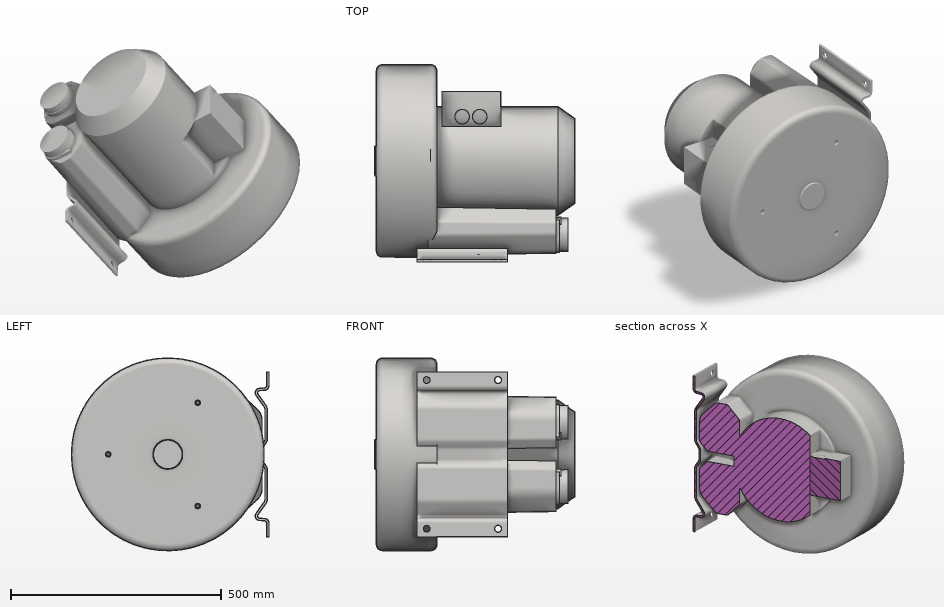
import cadquery as cq
import math


housing_radius = 229.5
housing_depth = 144.5
housing_rim_fillet = 15.0
hub_radius = 35.5
hub_height = 4.0
hub_chamfer = 1.5
cover_hole_count = 3
cover_hole_circle_radius = 142.0
cover_hole_diameter = 9.0
cover_hole_sink_diameter = 13.0
cover_hole_sink_angle = 45.0
cover_hole_depth = 12.0

duct_start_x = 123.5
duct_end_x = 428.5
duct_draft = 0.9
duct_outer_y = -224.5
duct_inner_y = -110.0
duct_top_z = 141.0
duct_bottom_z = 11.0
duct_outer_chamfer_width = 47.0
duct_outer_chamfer_height = 44.5
duct_inner_chamfer = 35.0
duct_lower_chamfer = 22.5
duct_outer_fillet = 34.0
duct_top_fillet = 13.0
duct_small_fillet = 10.0

cap_y = -175.5
cap_z = 76.5
cap_radius = 42.0
plate_end_x = 436.0
flange_end_x = 440.0
plug_radius = 40.0
plug_end_x = 457.0
cap_step_offset = 5.0
plate_corner_radius = 38.0

motor_radius = 129.5
motor_shoulder_x = 432.5
motor_end_x = 473.0
motor_end_radius = 101.0

box_start_x = 156.0
box_end_x = 296.5
box_length = box_end_x - box_start_x
box_seat_y = 82.0
box_outer_y = 165.5
box_half_height = 50.0
knockout_x = (204.5, 246.5)
knockout_y = 105.5
knockout_diameter = 34.5
knockout_depth = 2.0

sheet = 6.0
foot_start_x = 97.0
foot_end_x = 313.0
foot_length = foot_end_x - foot_start_x
foot_half_height = 196.5
flange_y = -238.0
pad_y = -234.0
web_y = -222.0
web_edge_z = 15.8
pad_inner_z = 32.6
pad_outer_z = 111.5
crest_y = -204.0
crest_z = 153.5
flange_bend_z = 156.0
web_bend_radius = 13.0
pad_inner_bend_radius = 10.0
pad_outer_bend_radius = 17.0
crest_bend_radius = 8.0
flange_bend_radius = 8.0
slot_half_height = 19.7
foot_slot_depth = 60.0
foot_hole_diameter = 16.0
foot_hole_z = 177.0
foot_hole_inset = 23.0


def yz_plane(x):
    """Workplane across the machine axis at x, with local axes Y and Z."""
    return cq.Workplane("YZ", origin=(x, 0, 0))


def disc(start_x, end_x, radius, y=0.0, z=0.0):
    return yz_plane(start_x).center(y, z).circle(radius).extrude(end_x - start_x)


def mirrored(shape):
    return shape.mirror("XY")



def make_motor():
    barrel = disc(housing_depth, motor_shoulder_x, motor_radius)
    cone = (
        yz_plane(motor_shoulder_x).circle(motor_radius)
        .workplane(offset=motor_end_x - motor_shoulder_x).circle(motor_end_radius)
        .loft(ruled=True)
    )
    return barrel.union(cone)


def make_box_seat():
    """Space cut from the motor so that the terminal box stands on a flat."""
    return (
        cq.Workplane("XY")
        .box(box_length, motor_radius, 2 * motor_radius, centered=(False, False, True))
        .translate((box_start_x, box_seat_y, 0))
    )



def make_drum():
    drum = disc(0, housing_depth, housing_radius).edges().fillet(housing_rim_fillet)
    hub = disc(-hub_height, housing_rim_fillet, hub_radius).faces("<X").chamfer(hub_chamfer)
    cover_holes = (
        cq.Workplane("YZ")
        .polarArray(cover_hole_circle_radius, 0, 360, cover_hole_count)
        .circle(cover_hole_diameter / 2)
        .extrude(cover_hole_depth)
    )
    sink_step = (cover_hole_sink_diameter - cover_hole_diameter) / 2
    sink_depth = sink_step / math.tan(math.radians(cover_hole_sink_angle))
    sinks = (
        cq.Workplane("YZ")
        .polarArray(cover_hole_circle_radius, 0, 360, cover_hole_count)
        .circle(cover_hole_sink_diameter / 2)
        .extrude(sink_depth, taper=cover_hole_sink_angle)
    )
    return drum.union(hub).cut(cover_holes).cut(sinks)


def make_duct():
    """Upper duct: a drafted prism whose long edges are rounded one by one."""
    corners = [
        ((duct_inner_y, duct_bottom_z), None),
        ((duct_inner_y, duct_top_z - duct_inner_chamfer), duct_small_fillet),
        ((duct_inner_y - duct_inner_chamfer, duct_top_z), duct_small_fillet),
        ((duct_outer_y + duct_outer_chamfer_width, duct_top_z), duct_top_fillet),
        ((duct_outer_y, duct_top_z - duct_outer_chamfer_height), duct_outer_fillet),
        ((duct_outer_y, duct_bottom_z + duct_lower_chamfer), duct_small_fillet),
        ((duct_outer_y + duct_lower_chamfer, duct_bottom_z), duct_small_fillet),
    ]
    duct = (
        yz_plane(duct_start_x).polyline([point for point, _ in corners]).close()
        .extrude(duct_end_x - duct_start_x, taper=duct_draft)
    )
    middle_x = (duct_start_x + duct_end_x) / 2
    for (y, z), radius in corners:
        if radius:
            duct = duct.edges("not #X").edges(cq.NearestToPointSelector((middle_x, y, z))).fillet(radius)
    return duct


def make_duct_root():
    """Full-radius stretch of the drum between the ducts, where its rear rim is not rounded."""
    half_height = duct_top_z - duct_outer_chamfer_height
    between_ducts = (
        cq.Workplane("XY")
        .box(housing_depth, housing_radius, 2 * half_height, centered=(False, False, True))
        .translate((0, -housing_radius, 0))
    )
    return disc(duct_start_x, housing_depth, housing_radius).intersect(between_ducts)


def make_cap():
    """Cap of the upper duct: its outer corner is a lower, squarer step than the round rest."""
    reach = 2 * cap_radius
    diagonal = cap_step_offset * math.sqrt(2)
    corner_region = (
        yz_plane(duct_end_x).center(cap_y, cap_z)
        .polyline([(-reach, diagonal - reach), (reach - diagonal, reach), (-reach, reach)]).close()
        .extrude(flange_end_x - duct_end_x)
    )
    flange = disc(duct_end_x, flange_end_x, cap_radius, cap_y, cap_z).cut(corner_region)
    plate = (
        yz_plane(duct_end_x).center(cap_y, cap_z)
        .rect(2 * cap_radius, 2 * cap_radius)
        .extrude(plate_end_x - duct_end_x)
        .edges("|X and <Y and >Z").fillet(plate_corner_radius)
        .intersect(corner_region)
    )
    plug = disc(duct_end_x, plug_end_x, plug_radius, cap_y, cap_z)
    return flange.union(plate).union(plug)


def make_blower():
    upper_duct = make_duct().union(make_cap())
    motor = make_motor().cut(make_box_seat())
    drum = make_drum().union(make_duct_root())
    return drum.union(motor).union(upper_duct).union(mirrored(upper_duct))



def make_terminal_box():
    box = (
        cq.Workplane("XY")
        .box(box_length, box_outer_y - box_seat_y, 2 * box_half_height, centered=(False, False, True))
        .translate((box_start_x, box_seat_y, 0))
    )
    knockouts = (
        cq.Workplane("XY", origin=(0, 0, box_half_height - knockout_depth))
        .pushPoints([(x, knockout_y) for x in knockout_x])
        .circle(knockout_diameter / 2)
        .extrude(knockout_depth)
    )
    return box.cut(knockouts)



def sheet_side(middle, radii, offset):
    """Line and arc points of one sheet surface, offset to the left of the bent middle line.

    Returns the start point, a list of (arc start, arc middle, arc end) and the end point.
    """
    points = [cq.Vector(*point) for point in middle]
    runs = [(end - start).normalized() for start, end in zip(points, points[1:])]
    normals = [cq.Vector(-run.y, run.x) for run in runs]
    arcs = []
    for i, radius in enumerate(radii):
        vertex = points[i + 1]
        turn = math.copysign(1, runs[i].cross(runs[i + 1]).z)
        tangent = radius * math.tan(runs[i].getAngle(runs[i + 1]) / 2)
        arc_start = vertex - runs[i] * tangent
        centre = arc_start + normals[i] * (turn * radius)
        outward = (vertex - centre).normalized()
        side_radius = radius - turn * offset
        arcs.append((
            centre - normals[i] * (turn * side_radius),
            centre + outward * side_radius,
            centre - normals[i + 1] * (turn * side_radius),
        ))
    return points[0] + normals[0] * offset, arcs, points[-1] + normals[-1] * offset


def make_foot(blower):
    half_middle = [
        (web_y, web_edge_z),
        (pad_y, pad_inner_z),
        (pad_y, pad_outer_z),
        (crest_y, crest_z),
        (flange_y, flange_bend_z),
        (flange_y, foot_half_height),
    ]
    half_radii = [
        web_bend_radius,
        pad_inner_bend_radius,
        pad_outer_bend_radius,
        crest_bend_radius,
        flange_bend_radius,
    ]
    middle = [(y, -z) for y, z in reversed(half_middle)] + half_middle
    radii = half_radii[::-1] + half_radii

    start, arcs, end = sheet_side(middle, radii, sheet / 2)
    profile = yz_plane(foot_start_x).moveTo(start.x, start.y)
    for arc_start, arc_middle, arc_end in arcs:
        profile = profile.lineTo(arc_start.x, arc_start.y)
        profile = profile.threePointArc((arc_middle.x, arc_middle.y), (arc_end.x, arc_end.y))
    profile = profile.lineTo(end.x, end.y)

    start, arcs, end = sheet_side(middle, radii, -sheet / 2)
    profile = profile.lineTo(end.x, end.y)
    for arc_start, arc_middle, arc_end in reversed(arcs):
        profile = profile.lineTo(arc_end.x, arc_end.y)
        profile = profile.threePointArc((arc_middle.x, arc_middle.y), (arc_start.x, arc_start.y))
    foot = profile.lineTo(start.x, start.y).close().extrude(foot_length)

    slot = cq.Workplane("XY").box(
        housing_depth - foot_start_x, foot_slot_depth, 2 * slot_half_height,
        centered=(False, True, True),
    ).translate((foot_start_x, web_y, 0))
    hole_x = (foot_start_x + foot_hole_inset, foot_end_x - foot_hole_inset)
    holes = (
        cq.Workplane("XZ", origin=(0, flange_y + sheet, 0))
        .pushPoints([(x, z) for x in hole_x for z in (-foot_hole_z, foot_hole_z)])
        .circle(foot_hole_diameter / 2)
        .extrude(2 * sheet)
    )
    return foot.cut(slot).cut(holes).cut(blower)


blower = make_blower()
terminal_box = make_terminal_box()
foot = make_foot(blower)

result = cq.Compound.makeCompound([
    *blower.solids().vals(),
    *terminal_box.solids().vals(),
    *foot.solids().vals(),
])